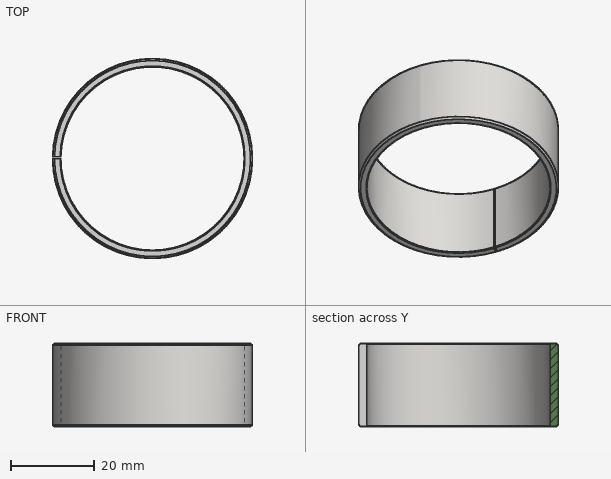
import cadquery as cq

outer_diameter = 48.0
inner_diameter = 44.0
height = 20.0
outer_chamfer = 0.5
inner_chamfer = 0.2
slit_width = 0.4

outer_radius = outer_diameter / 2
inner_radius = inner_diameter / 2


def sleeve():
    """Revolve the wall section, with all four rim edges chamfered."""
    section = (
        cq.Workplane("XZ")
        .moveTo(inner_radius + inner_chamfer, 0)
        .lineTo(outer_radius - outer_chamfer, 0)
        .lineTo(outer_radius, outer_chamfer)
        .lineTo(outer_radius, height - outer_chamfer)
        .lineTo(outer_radius - outer_chamfer, height)
        .lineTo(inner_radius + inner_chamfer, height)
        .lineTo(inner_radius, height - inner_chamfer)
        .lineTo(inner_radius, inner_chamfer)
        .close()
    )
    return section.revolve(360, (0, 0, 0), (0, 1, 0))


def slit():
    """Full-height cutter through the -X wall, with one face on the XZ plane."""
    return (
        cq.Workplane("XY")
        .box(outer_diameter, slit_width, height, centered=(True, False, False))
        .translate((-outer_radius, 0, 0))
    )


result = sleeve().cut(slit())